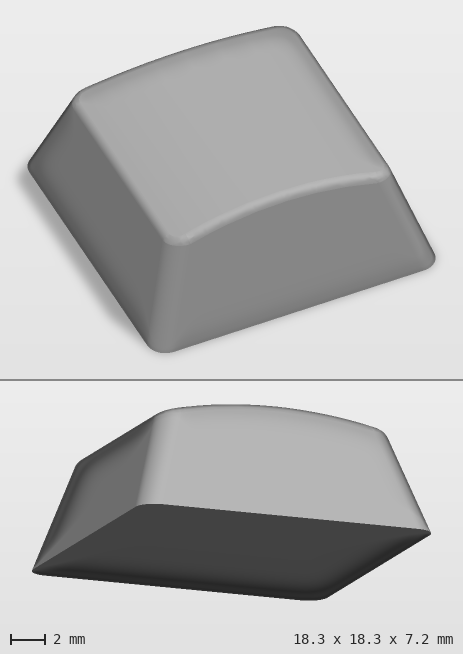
import cadquery as cq

base_width = 18.3
height = 7.2
wall_lean = 18.0
corner_radius = 1.25
crown_radius = 26.54
rim_radius = 0.59


def tapered_body():
    """Square frustum with its sloping corner edges rounded."""
    frustum = cq.Workplane("XY").rect(base_width, base_width).extrude(height, taper=wall_lean)
    return frustum.edges("not (|X or |Y)").fillet(corner_radius)


def crown_cylinder():
    """Cylinder along X whose highest line lies at the top of the cap."""
    return (
        cq.Workplane("YZ")
        .center(0, height - crown_radius)
        .circle(crown_radius)
        .extrude(base_width / 2, both=True)
    )


def is_rim_edge(edge):
    """True for an edge that lies wholly in the upper half, around the crown."""
    return edge.BoundingBox().zmin > height / 2


crowned_body = tapered_body().intersect(crown_cylinder())
result = crowned_body.edges().filter(is_rim_edge).fillet(rim_radius)